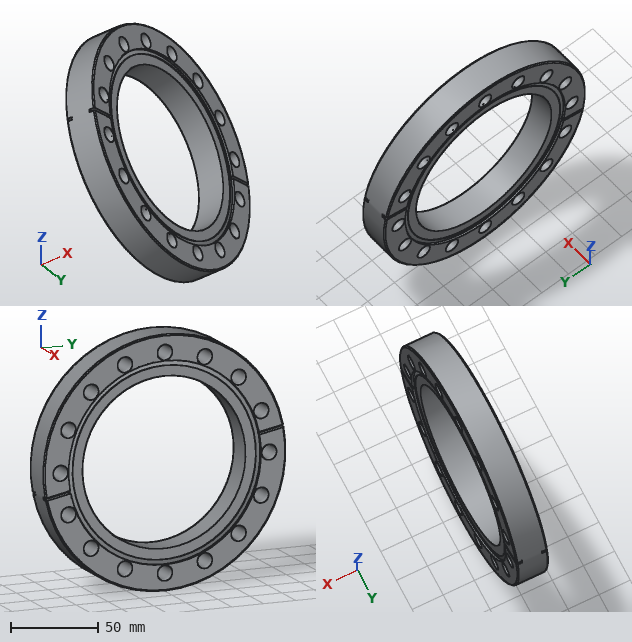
import cadquery as cq

outer_diameter = 151.6
thickness = 19.9
bore_diameter = 101.9
rim_chamfer = 0.8

recess_diameter = 120.4
recess_depth = 1.5
knife_diameter = 115.2
knife_crest_width = 0.3
knife_crest_depth = 0.8
inner_face_depth = 1.2

bolt_count = 16
bolt_circle_diameter = 130.4
bolt_hole_diameter = 8.5
bolt_mouth_diameter = 9.3
bolt_mouth_depth = 3.0

groove_width = 1.7
groove_depth = 3.6
groove_angle = 180.0 / bolt_count

outer_radius = outer_diameter / 2
bore_radius = bore_diameter / 2
recess_radius = recess_diameter / 2
knife_radius = knife_diameter / 2
crest_inner_radius = knife_radius - knife_crest_width
half_thickness = thickness / 2


def flange_ring():
    """Symmetric cross-section in the XZ plane, revolved about X."""
    right_face = [
        (half_thickness - inner_face_depth, bore_radius),
        (half_thickness - inner_face_depth, crest_inner_radius),
        (half_thickness - knife_crest_depth, crest_inner_radius),
        (half_thickness - knife_crest_depth, knife_radius),
        (half_thickness - recess_depth, recess_radius),
        (half_thickness, recess_radius),
        (half_thickness, outer_radius - rim_chamfer),
        (half_thickness - rim_chamfer, outer_radius),
    ]
    left_face = [(-x, radius) for x, radius in reversed(right_face)]
    profile = cq.Workplane("XZ").polyline(right_face + left_face).close()
    return profile.revolve(360, (0, 0, 0), (1, 0, 0))


def bolt_holes():
    """Through holes on the bolt circle, each widening in a steep cone towards both faces."""
    hole_radius = bolt_hole_diameter / 2
    mouth_radius = bolt_mouth_diameter / 2
    cone_end = half_thickness - bolt_mouth_depth
    profile = [
        (-half_thickness, 0),
        (-half_thickness, mouth_radius),
        (-cone_end, hole_radius),
        (cone_end, hole_radius),
        (half_thickness, mouth_radius),
        (half_thickness, 0),
    ]
    hole = cq.Workplane("XZ").polyline(profile).close().revolve(360, (0, 0, 0), (1, 0, 0))
    hole = hole.translate((0, 0, bolt_circle_diameter / 2))
    holes = cq.Workplane("YZ")
    for index in range(bolt_count):
        holes = holes.add(hole.rotate((0, 0, 0), (1, 0, 0), index * 360 / bolt_count))
    return holes.combine()


def leak_grooves():
    """Two opposite radial grooves in each face, running from the recess wall to the rim."""
    groove_length = outer_radius - bore_radius
    mid_depth = half_thickness - groove_depth / 2
    mid_radius = bore_radius + groove_length / 2
    centres = [(face * mid_depth, side * mid_radius, 0) for face in (-1, 1) for side in (-1, 1)]
    grooves = cq.Workplane("XY").pushPoints(centres).box(groove_depth, groove_length, groove_width)
    recess_core = cq.Workplane("YZ").circle(recess_radius).extrude(half_thickness, both=True)
    return grooves.rotate((0, 0, 0), (1, 0, 0), groove_angle).cut(recess_core)


result = flange_ring().cut(bolt_holes()).cut(leak_grooves())